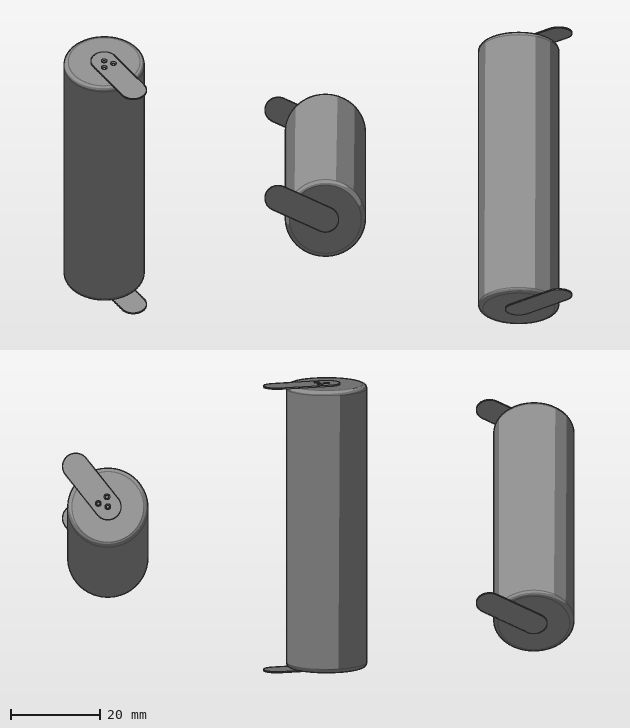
import cadquery as cq

total_height = 64.75
can_diameter = 18.0
total_length = 23.65

edge_radius = 1.0

tab_thickness = 0.3
tab_width = 5.95

dimple_top_diameter = 1.3
dimple_floor_diameter = 0.7
dimple_depth = tab_thickness
dimple_offset_x = 1.9
dimple_offset_y = 1.2

can_radius = can_diameter / 2
can_height = total_height - 2 * tab_thickness
tab_tip_x = total_length - can_radius
tab_length = tab_tip_x + tab_width / 2
top_z = total_height / 2


def make_can():
    """Cylinder centred on the origin with rounded end rims."""
    can = cq.Workplane("XY").cylinder(can_height, can_radius)
    return can.faces("<Z or >Z").edges().fillet(edge_radius)


def make_tab(bottom_z):
    """Round-ended strip whose inner end is concentric with the can."""
    return (
        cq.Workplane("XY", origin=(tab_tip_x - tab_length / 2, 0, bottom_z))
        .slot2D(tab_length, tab_width)
        .extrude(tab_thickness)
    )


def make_dimple(x, y):
    """Tapered cutter that narrows downward from the top of the upper tab."""
    return (
        cq.Workplane("XY", origin=(x, y, top_z))
        .circle(dimple_top_diameter / 2)
        .workplane(offset=-dimple_depth)
        .circle(dimple_floor_diameter / 2)
        .loft()
    )


dimple_centres = [
    (0, 0),
    (dimple_offset_x, dimple_offset_y),
    (dimple_offset_x, -dimple_offset_y),
]

result = make_can()
for tab_bottom_z in (-top_z, top_z - tab_thickness):
    result = result.union(make_tab(tab_bottom_z))
for x, y in dimple_centres:
    result = result.cut(make_dimple(x, y))